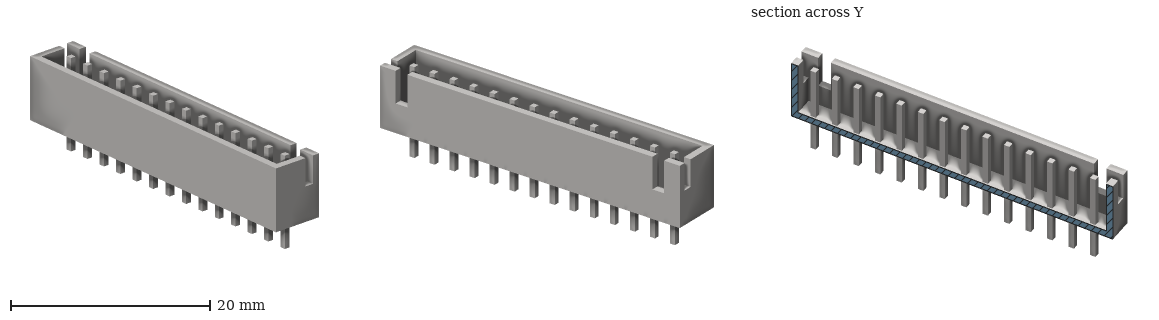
import cadquery as cq

LENGTH = 37.4
WIDTH = 5.75
HEIGHT = 7.0
WALL = 0.82
FLOOR = WALL
BACK = WIDTH / 2

END_SLOT_WIDTH = 1.0
END_SLOT_DEPTH = 3.1

NOTCH_WIDTH = 1.45
NOTCH_DEPTH = 3.65
NOTCH_END_DISTANCE = 1.95

PIN_COUNT = 14
PIN_ROW_LENGTH = 32.5
PIN_PITCH = PIN_ROW_LENGTH / (PIN_COUNT - 1)
PIN_SIZE = 0.65
PIN_TAIL = 3.4
PIN_TOP = 6.8
PIN_BACK_DISTANCE = 2.4


def block(size_x, size_y, z_bottom, z_top, x=0, y=0):
    """Upright box centred on (x, y) between two heights."""
    return (
        cq.Workplane("XY")
        .box(size_x, size_y, z_top - z_bottom, centered=(True, True, False))
        .translate((x, y, z_bottom))
    )


housing = block(LENGTH, WIDTH, 0, HEIGHT)
housing = housing.cut(block(LENGTH - 2 * WALL, WIDTH - 2 * WALL, FLOOR, HEIGHT))

slot_y = BACK - WALL - END_SLOT_WIDTH / 2
housing = housing.cut(block(LENGTH, END_SLOT_WIDTH, HEIGHT - END_SLOT_DEPTH, HEIGHT, y=slot_y))

notch_x = LENGTH / 2 - NOTCH_END_DISTANCE - NOTCH_WIDTH / 2
notch_y = BACK - WALL / 2
for x in (-notch_x, notch_x):
    housing = housing.cut(block(NOTCH_WIDTH, WALL, HEIGHT - NOTCH_DEPTH, HEIGHT, x, notch_y))

pin_y = BACK - PIN_BACK_DISTANCE
result = housing
for index in range(PIN_COUNT):
    pin_x = index * PIN_PITCH - PIN_ROW_LENGTH / 2
    result = result.union(block(PIN_SIZE, PIN_SIZE, -PIN_TAIL, PIN_TOP, pin_x, pin_y))